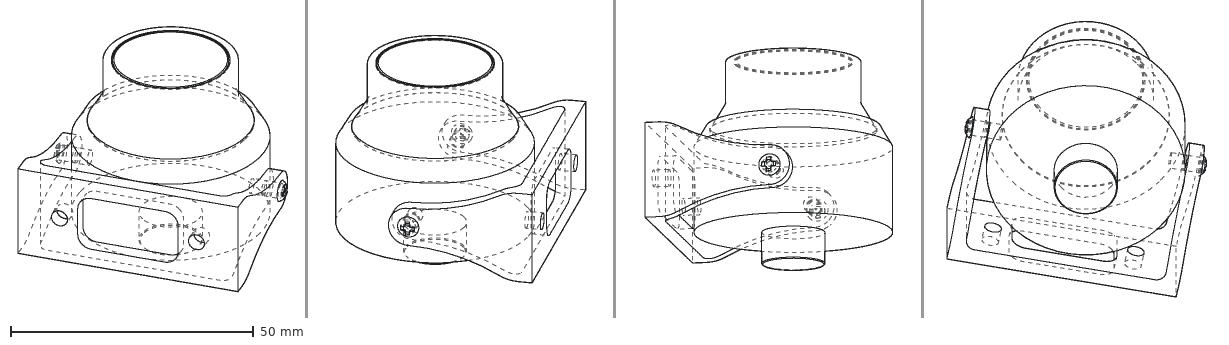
import cadquery as cq
import math


bracket_width = 48.2
bracket_height = 20.0
bracket_back_y = -26.25
ear_thickness = 3.15
plate_thickness = 3.3
ear_tip_radius = 4.2
flare_radius = 40.9
flat_edge_length = 3.0
inner_corner_radius = 2.0
window_width = 22.0
window_height = 12.0
window_corner_radius = 3.0
mount_hole_diameter = 3.5
mount_hole_spacing = 30.0

housing_diameter = 41.0
housing_bottom_z = -9.45
shoulder_z = 8.55
rim_z = 12.85
cone_half_angle = 30.5
rim_bead_radius = 0.45
seat_depth = 0.75
tail_diameter = 13.05
tail_bottom_z = -16.2
tail_chamfer = 0.2

barrel_diameter = 28.0
barrel_top_z = 26.55
barrel_cone_top_z = 17.5
barrel_neck_fillet = 0.6
barrel_edge_fillet = 0.25
window_disc_diameter = 24.0
groove_diameter = 24.5
groove_depth = 0.25
disc_edge_chamfer = 0.25

shank_diameter = 3.2
shank_end_x = 17.7
head_diameter = 4.5
head_tip_x = 25.3
recess_core_diameter = 1.55
recess_span = 2.95
recess_floor_span = 1.85
recess_arm_width = 0.9
recess_depth = 0.75
recess_mouth_depth = 0.4

cone_slope = math.tan(math.radians(cone_half_angle))
ear_outer_x = bracket_width / 2


def x_cylinder(diameter, start_x, end_x):
    return cq.Workplane("YZ").workplane(offset=start_x).circle(diameter / 2).extrude(end_x - start_x)


def make_ear_outline():
    """Side outline: round tip, then a concave and a convex arc up to the full height."""
    half_height = bracket_height / 2
    flat_start_y = bracket_back_y + flat_edge_length
    rise = half_height - ear_tip_radius
    turn = 2 * math.atan2(rise, -flat_start_y)
    crown_radius = -flat_start_y / math.sin(turn) - flare_radius

    def flare_point(angle):
        y = -flare_radius * math.sin(angle)
        return y, ear_tip_radius + flare_radius * (1 - math.cos(angle))

    def crown_point(angle):
        y = flat_start_y + crown_radius * math.sin(angle)
        return y, half_height - crown_radius * (1 - math.cos(angle))

    def below(point):
        return point[0], -point[1]

    flare_middle = flare_point(turn / 2)
    flare_end = flare_point(turn)
    crown_middle = crown_point(turn / 2)
    crown_end = crown_point(0)
    return (
        cq.Workplane("YZ")
        .moveTo(0, ear_tip_radius)
        .threePointArc(flare_middle, flare_end)
        .threePointArc(crown_middle, crown_end)
        .lineTo(bracket_back_y, half_height)
        .lineTo(bracket_back_y, -half_height)
        .lineTo(*below(crown_end))
        .threePointArc(below(crown_middle), below(flare_end))
        .threePointArc(below(flare_middle), (0, -ear_tip_radius))
        .threePointArc((ear_tip_radius, 0), (0, ear_tip_radius))
        .close()
    )


def make_bracket():
    bracket = make_ear_outline().extrude(ear_outer_x, both=True)

    inner_width = bracket_width - 2 * ear_thickness
    plate_front_y = bracket_back_y + plate_thickness
    space_length = 2 * ear_tip_radius - plate_front_y
    space = (
        cq.Workplane("XY")
        .box(inner_width, space_length, 2 * bracket_height)
        .translate((0, plate_front_y + space_length / 2, 0))
        .edges("|Z and <Y")
        .fillet(inner_corner_radius)
    )
    bracket = bracket.cut(space)

    window = (
        cq.Workplane("XY")
        .box(window_width, 2 * plate_thickness, window_height)
        .edges("|Y")
        .fillet(window_corner_radius)
        .translate((0, bracket_back_y + plate_thickness / 2, 0))
    )
    mount_holes = (
        cq.Workplane("XZ", origin=(0, bracket_back_y, 0))
        .pushPoints([(-mount_hole_spacing / 2, 0), (mount_hole_spacing / 2, 0)])
        .circle(mount_hole_diameter / 2)
        .extrude(-2 * plate_thickness)
    )
    pivot_hole = x_cylinder(shank_diameter, -bracket_width, bracket_width)
    return bracket.cut(window).cut(mount_holes).cut(pivot_hole)


def make_housing():
    body_radius = housing_diameter / 2
    cone_angle = math.radians(cone_half_angle)
    sharp_rim_radius = body_radius - (rim_z - shoulder_z) * cone_slope
    bead_centre_r = sharp_rim_radius - rim_bead_radius * math.tan(math.pi / 4 - cone_angle / 2)
    bead_centre_z = rim_z - rim_bead_radius
    bead_outer_r = bead_centre_r + rim_bead_radius * math.cos(cone_angle)
    bead_outer_z = bead_centre_z + rim_bead_radius * math.sin(cone_angle)
    seat_radius = bead_centre_r - rim_bead_radius
    seat_z = rim_z - seat_depth
    body = (
        cq.Workplane("XZ")
        .moveTo(0, housing_bottom_z)
        .lineTo(body_radius, housing_bottom_z)
        .lineTo(body_radius, shoulder_z)
        .lineTo(bead_outer_r, bead_outer_z)
        .threePointArc((bead_centre_r, rim_z), (seat_radius, bead_centre_z))
        .lineTo(seat_radius, seat_z)
        .lineTo(0, seat_z)
        .close()
        .revolve()
    )
    tail = (
        cq.Workplane("XY")
        .workplane(offset=tail_bottom_z)
        .circle(tail_diameter / 2)
        .extrude(housing_bottom_z - tail_bottom_z)
        .faces("<Z")
        .chamfer(tail_chamfer)
    )
    housing = body.union(tail)
    for side in (-1, 1):
        screw_hole = x_cylinder(shank_diameter, side * shank_end_x, side * housing_diameter)
        housing = housing.cut(screw_hole)
    return housing


def make_barrel():
    barrel_radius = barrel_diameter / 2
    seat_z = rim_z - seat_depth
    base_radius = barrel_radius + (barrel_cone_top_z - seat_z) * cone_slope
    barrel = (
        cq.Workplane("XZ")
        .moveTo(0, seat_z)
        .lineTo(base_radius, seat_z)
        .lineTo(barrel_radius, barrel_cone_top_z)
        .lineTo(barrel_radius, barrel_top_z)
        .lineTo(0, barrel_top_z)
        .close()
        .revolve()
    )
    neck_edge = cq.selectors.NearestToPointSelector((0, 0, barrel_cone_top_z))
    barrel = barrel.edges(neck_edge).fillet(barrel_neck_fillet)
    barrel = barrel.faces(">Z").edges().fillet(barrel_edge_fillet)

    disc_radius = window_disc_diameter / 2
    groove_floor_z = barrel_top_z - groove_depth
    groove = (
        cq.Workplane("XZ")
        .moveTo(disc_radius - disc_edge_chamfer, barrel_top_z)
        .lineTo(disc_radius, groove_floor_z)
        .lineTo(groove_diameter / 2, groove_floor_z)
        .lineTo(groove_diameter / 2, barrel_top_z)
        .close()
        .revolve(360, (0, 0, 0), (0, 1, 0))
    )
    return barrel.cut(groove)


def make_recess():
    """Cross recess: a round core and two arms whose ends slope in towards the floor."""
    floor_x = head_tip_x - recess_depth
    recess_mouth_x = head_tip_x - recess_mouth_depth
    recess = x_cylinder(recess_core_diameter, floor_x, head_tip_x + recess_depth)
    arm = (
        cq.Workplane("XY")
        .moveTo(floor_x, -recess_floor_span / 2)
        .lineTo(recess_mouth_x, -recess_span / 2)
        .lineTo(head_tip_x + recess_depth, -recess_span / 2)
        .lineTo(head_tip_x + recess_depth, recess_span / 2)
        .lineTo(recess_mouth_x, recess_span / 2)
        .lineTo(floor_x, recess_floor_span / 2)
        .close()
        .extrude(recess_arm_width / 2, both=True)
    )
    for angle in (0, 90):
        recess = recess.union(arm.rotate((0, 0, 0), (1, 0, 0), angle))
    return recess


def make_screw(rotation):
    """Screw on the +X side, turned about Z by the given angle."""
    head_radius = head_diameter / 2
    core_radius = recess_core_diameter / 2
    dome_centre_x = (
        head_tip_x**2 + core_radius**2 - ear_outer_x**2 - head_radius**2
    ) / (2 * (head_tip_x - ear_outer_x))
    dome_radius = math.hypot(head_tip_x - dome_centre_x, core_radius)
    dome_angle = math.asin(head_radius / dome_radius) / 2
    dome_middle = (
        dome_centre_x + dome_radius * math.cos(dome_angle),
        dome_radius * math.sin(dome_angle),
    )
    head = (
        cq.Workplane("XY")
        .moveTo(ear_outer_x, 0)
        .lineTo(dome_centre_x + dome_radius, 0)
        .threePointArc(dome_middle, (ear_outer_x, head_radius))
        .close()
        .revolve(360, (0, 0, 0), (1, 0, 0))
    )
    shank = x_cylinder(shank_diameter, shank_end_x, ear_outer_x)
    screw = head.union(shank).cut(make_recess())
    return screw.rotate((0, 0, 0), (0, 0, 1), rotation)


bracket = make_bracket()
housing = make_housing()
barrel = make_barrel()
screws = [make_screw(rotation) for rotation in (0, 180)]

result = cq.Compound.makeCompound(
    [bracket.val(), housing.val(), barrel.val(), *[screw.val() for screw in screws]]
)